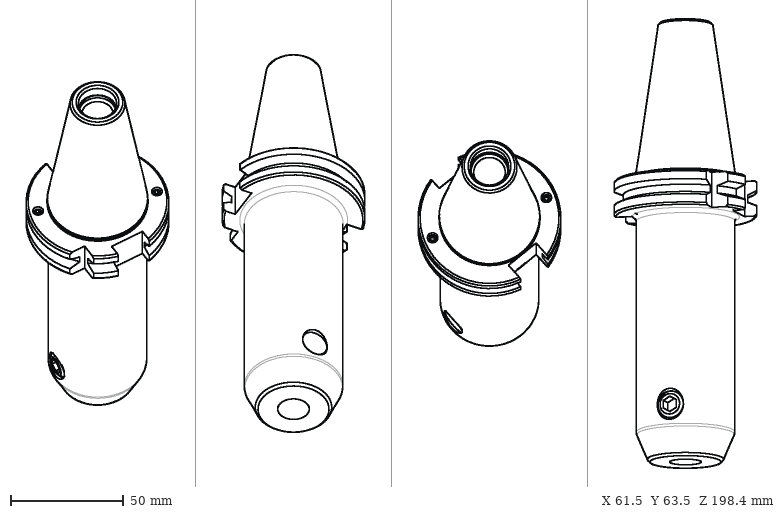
import cadquery as cq
import math


gauge_radius = 44.45 / 2
taper_length = 68.4
taper_ratio = 7 / 24
taper_end_chamfer = 1.0

relief_top = -1.2
relief_bottom = -3.0
relief_depth = 0.4
relief_floor_width = 0.6
collar_radius = 22.5

flange_radius = 63.55 / 2
flange_top = -3.2
flange_bottom = -19.1
flange_chamfer = 0.9
groove_radius = 27.8
groove_center = -11.1
groove_width = 6.8
groove_floor_width = 3.3

body_radius = 22.0
body_bottom = -130.0
shoulder_fillet = 2.0
nose_start = -117.0
nose_radius = 17.0
nose_edge_chamfer = 1.2
nose_fillet = 3.0

tool_bore_radius = 7.0
stud_bore_radius = 8.5
stud_bore_depth = 5.7
stud_bore_chamfer = 1.0
stud_ledge_width = 0.3
stud_ledge_drop = 1.7

slot_width = 16.1
shallow_slot_floor = 25.0
deep_slot_floor = 22.5
notch_x = 18.5
notch_y = 18.2

seal_circle_radius = 27.0
seal_angle = 70.0
seal_radius = 2.3
seal_floor_radius = 1.6
seal_socket_width = 2.0
seal_socket_depth = 2.0

screw_z = body_bottom + 22.5
screw_hole_radius = 6.0
screw_hole_rim_radius = 7.0
screw_face = 21.9
screw_chamfer = 1.4
screw_socket_width = 6.0
screw_socket_depth = 6.0
screw_socket_turn = 30.0


def make_blank():
    """Revolve the outer half section around Z."""
    taper_end_radius = gauge_radius - taper_length * taper_ratio / 2
    relief_top_radius = gauge_radius - relief_top * taper_ratio / 2
    relief_radius = collar_radius - relief_depth
    relief_center = (relief_top + relief_bottom) / 2
    groove_half_width = groove_width / 2
    groove_half_floor = groove_floor_width / 2
    fillet_rim_radius = body_radius + shoulder_fillet
    fillet_end = flange_bottom - shoulder_fillet
    fillet_offset = shoulder_fillet * (1 - math.sqrt(0.5))
    section = (
        cq.Workplane("XZ")
        .moveTo(0, taper_length)
        .lineTo(taper_end_radius - taper_end_chamfer, taper_length)
        .lineTo(taper_end_radius, taper_length - taper_end_chamfer)
        .lineTo(relief_top_radius, relief_top)
        .lineTo(relief_radius, relief_center + relief_floor_width / 2)
        .lineTo(relief_radius, relief_center - relief_floor_width / 2)
        .lineTo(collar_radius, relief_bottom)
        .lineTo(collar_radius, flange_top)
        .lineTo(flange_radius - flange_chamfer, flange_top)
        .lineTo(flange_radius, flange_top - flange_chamfer)
        .lineTo(flange_radius, groove_center + groove_half_width)
        .lineTo(groove_radius, groove_center + groove_half_floor)
        .lineTo(groove_radius, groove_center - groove_half_floor)
        .lineTo(flange_radius, groove_center - groove_half_width)
        .lineTo(flange_radius, flange_bottom + flange_chamfer)
        .lineTo(flange_radius - flange_chamfer, flange_bottom)
        .lineTo(fillet_rim_radius, flange_bottom)
        .threePointArc(
            (body_radius + fillet_offset, flange_bottom - fillet_offset),
            (body_radius, fillet_end),
        )
        .lineTo(body_radius, nose_start)
        .lineTo(nose_radius, body_bottom + nose_edge_chamfer)
        .lineTo(nose_radius - nose_edge_chamfer, body_bottom)
        .lineTo(0, body_bottom)
        .close()
    )
    blank = section.revolve(360, (0, 0, 0), (0, 1, 0))
    nose_corner = cq.selectors.NearestToPointSelector((0, 0, nose_start))
    return blank.edges(nose_corner).fillet(nose_fillet)


def make_bore():
    """Tool bore opening through a cone and a narrow ledge into the chamfered counterbore."""
    chamfer_radius = stud_bore_radius + stud_bore_chamfer
    counterbore_end = taper_length - stud_bore_depth
    cone_radius = stud_bore_radius - stud_ledge_width
    cone_top = counterbore_end - stud_ledge_drop
    cone_height = cone_radius - tool_bore_radius
    section = (
        cq.Workplane("XZ")
        .moveTo(0, body_bottom)
        .lineTo(tool_bore_radius, body_bottom)
        .lineTo(tool_bore_radius, cone_top - cone_height)
        .lineTo(cone_radius, cone_top)
        .lineTo(cone_radius, counterbore_end)
        .lineTo(stud_bore_radius, counterbore_end)
        .lineTo(stud_bore_radius, taper_length - stud_bore_chamfer)
        .lineTo(chamfer_radius, taper_length)
        .lineTo(0, taper_length)
        .close()
    )
    return section.revolve(360, (0, 0, 0), (0, 1, 0))


def make_flange_cut(x_inner, x_outer, y_low, y_high):
    """Rectangular cut through the flange and the fillet below it."""
    cut_bottom = flange_bottom - shoulder_fillet
    size = (x_outer - x_inner, y_high - y_low, flange_top - cut_bottom)
    block = cq.Workplane("XY").box(*size, centered=False)
    return block.translate((x_inner, y_low, cut_bottom))


def hexagon_diameter(across_flats):
    """Corner-to-corner size of a hexagon."""
    return across_flats / math.cos(math.pi / 6)


def make_seal_recess(angle):
    """Countersink in the flange face over the hexagon socket of a sealing screw."""
    depth = seal_radius - seal_floor_radius
    recess = (
        cq.Workplane("XY")
        .circle(seal_radius)
        .workplane(offset=-depth)
        .circle(seal_floor_radius)
        .loft()
    )
    socket = (
        cq.Workplane("XY")
        .polygon(6, hexagon_diameter(seal_socket_width))
        .extrude(-depth - seal_socket_depth)
    )
    recess = recess.union(socket).translate((seal_circle_radius, 0, flange_top))
    return recess.rotate((0, 0, 0), (0, 0, 1), angle)


def make_cross_hole():
    """Hole through the body along Y, countersunk where it leaves the body."""
    flare = screw_hole_rim_radius - screw_hole_radius
    countersink_start = body_radius - flare
    section = (
        cq.Workplane("XY")
        .moveTo(0, -body_radius)
        .lineTo(screw_hole_rim_radius, -body_radius)
        .lineTo(screw_hole_radius, -countersink_start)
        .lineTo(screw_hole_radius, countersink_start)
        .lineTo(screw_hole_rim_radius, body_radius)
        .lineTo(0, body_radius)
        .close()
    )
    return section.revolve(360, (0, 0, 0), (0, 1, 0)).translate((0, 0, screw_z))


def make_screw():
    """Chamfered clamping screw with a hexagon socket, its tip to be trimmed by the tool bore."""
    screw = (
        cq.Workplane("XZ", origin=(0, 0, screw_z))
        .circle(screw_hole_radius)
        .extrude(screw_face)
        .faces("<Y")
        .chamfer(screw_chamfer)
    )
    socket = (
        cq.Workplane("XZ", origin=(0, -screw_face, screw_z))
        .polygon(6, hexagon_diameter(screw_socket_width))
        .extrude(-screw_socket_depth)
        .rotate((0, 0, screw_z), (0, 1, screw_z), screw_socket_turn)
    )
    return screw.cut(socket)


slot_half = slot_width / 2

result = make_blank().cut(make_cross_hole()).union(make_screw()).cut(make_bore())
result = result.cut(make_flange_cut(shallow_slot_floor, flange_radius, -slot_half, slot_half))
result = result.cut(make_flange_cut(-flange_radius, -deep_slot_floor, -slot_half, slot_half))
result = result.cut(make_flange_cut(notch_x, flange_radius, -flange_radius, -notch_y))
for angle in (seal_angle, seal_angle + 180):
    result = result.cut(make_seal_recess(angle))